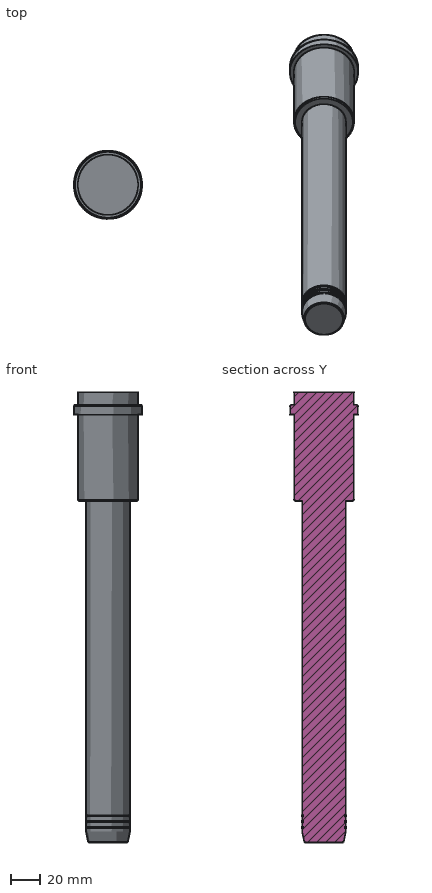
import cadquery as cq

total_length = 310.0
head_length = 75.0
head_radius = 20.8
rod_radius = 15.2
head_bottom = total_length - head_length
head_chamfer = 1.0

collar_radius = 23.5
collar_top = total_length - 8.7
collar_height = 6.8
collar_chamfer = 1.0

tip_length = 7.5
tip_radius = 13.5
tip_chamfer = 0.5

groove_count = 3
first_groove_bottom = 10.0
groove_pitch = 4.0
groove_width = 1.0
groove_depth = 0.5


def cylinder(radius, bottom, height):
    """Solid cylinder on the Z axis."""
    return cq.Workplane("XY").workplane(offset=bottom).circle(radius).extrude(height)


def make_tip():
    """Cone narrowing towards the chamfered end face."""
    return (
        cq.Workplane("XY")
        .circle(tip_radius)
        .workplane(offset=tip_length)
        .circle(rod_radius)
        .loft(ruled=True)
        .faces("<Z")
        .chamfer(tip_chamfer)
    )


def make_rod():
    """Plain rod with the ring grooves cut into its lower end."""
    rod = cylinder(rod_radius, tip_length, head_bottom - tip_length)
    for index in range(groove_count):
        bottom = first_groove_bottom + index * groove_pitch
        ring = cylinder(rod_radius, bottom, groove_width)
        core = cylinder(rod_radius - groove_depth, bottom, groove_width)
        rod = rod.cut(ring.cut(core))
    return rod


def make_head():
    """Wide head with a chamfered lower edge."""
    return cylinder(head_radius, head_bottom, head_length).faces("<Z").chamfer(head_chamfer)


def make_collar():
    """Flange around the head with a chamfered upper edge."""
    collar = cylinder(collar_radius, collar_top - collar_height, collar_height)
    return collar.faces(">Z").chamfer(collar_chamfer)


result = make_tip().union(make_rod()).union(make_head()).union(make_collar())